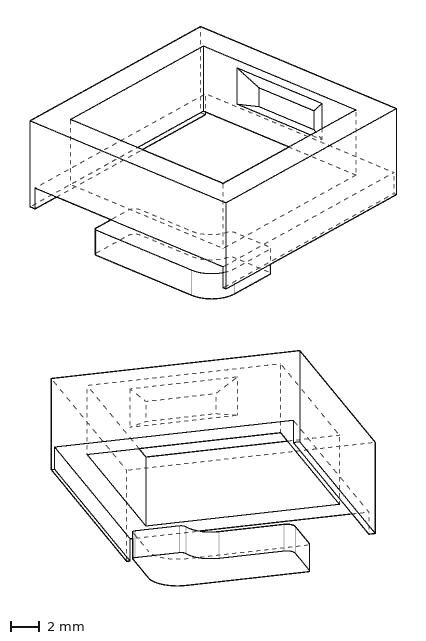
import cadquery as cq
import math

frame_side = 18.0
wall = 2.0
frame_top = 9.95
frame_height = 6.8
opening = frame_side - 2 * wall
frame_bottom = frame_top - frame_height

channel_roof_depth = 5.15
left_skirt = 0.47
right_skirt = 0.25
channel_height = frame_height - channel_roof_depth

pocket_width = 7.8
pocket_bottom_depth = 3.47
pocket_height = 2.86
pocket_depth = 0.72
pocket_taper = 1.37

plate_thickness = 2.0
plate_left = -4.93
plate_right = 6.15
plate_front = -6.93
plate_back = -0.88
step_back = -2.7
step_arc_radius = 2.0
step_arc_x = 0.4
large_corner = 2.1
step_corner = 0.63
arc_end_corner = 0.4
small_corner = 0.22


def pocket_cutter():
    """Wedge-shaped pocket that narrows as it goes into the +Y wall."""
    bottom = frame_top - pocket_bottom_depth
    inner_width = pocket_width - 2 * pocket_taper
    inner_height = pocket_height - pocket_taper
    return (
        cq.Workplane("XZ", origin=(0, opening / 2, bottom))
        .center(0, pocket_height / 2)
        .rect(pocket_width, pocket_height)
        .workplane(offset=-pocket_depth)
        .center(0, (inner_height - pocket_height) / 2)
        .rect(inner_width, inner_height)
        .loft(ruled=True)
    )


def make_frame():
    """Square frame with a channel below and a pocket in its +Y wall."""
    ring = (
        cq.Workplane("XY", origin=(0, 0, frame_bottom))
        .rect(frame_side, frame_side)
        .rect(opening, opening)
        .extrude(frame_height)
    )
    channel_width = frame_side - left_skirt - right_skirt
    channel = (
        cq.Workplane("XY", origin=((left_skirt - right_skirt) / 2, 0, frame_bottom))
        .rect(channel_width, frame_side)
        .extrude(channel_height)
    )
    return ring.cut(channel).cut(pocket_cutter())


def make_plate():
    """Stepped flat plate with a concave arc at the step and rounded corners."""
    arc_y = step_back + step_arc_radius
    end_angle = math.asin((plate_back - arc_y) / step_arc_radius)
    mid_angle = (end_angle - math.pi / 2) / 2
    arc_end_x = step_arc_x + step_arc_radius * math.cos(end_angle)
    arc_mid = (
        step_arc_x + step_arc_radius * math.cos(mid_angle),
        arc_y + step_arc_radius * math.sin(mid_angle),
    )
    plate = (
        cq.Workplane("XY")
        .moveTo(plate_left, plate_front)
        .lineTo(plate_right, plate_front)
        .lineTo(plate_right, plate_back)
        .lineTo(arc_end_x, plate_back)
        .threePointArc(arc_mid, (step_arc_x, step_back))
        .lineTo(plate_left, step_back)
        .close()
        .extrude(plate_thickness)
    )
    corners = [
        (plate_left, plate_front, small_corner),
        (plate_right, plate_front, large_corner),
        (plate_right, plate_back, small_corner),
        (arc_end_x, plate_back, arc_end_corner),
        (plate_left, step_back, step_corner),
    ]
    for x, y, radius in corners:
        corner = cq.selectors.NearestToPointSelector((x, y, plate_thickness / 2))
        plate = plate.edges("|Z").edges(corner).fillet(radius)
    return plate


frame = make_frame()
plate = make_plate()
result = cq.Compound.makeCompound([frame.solids().val(), plate.solids().val()])